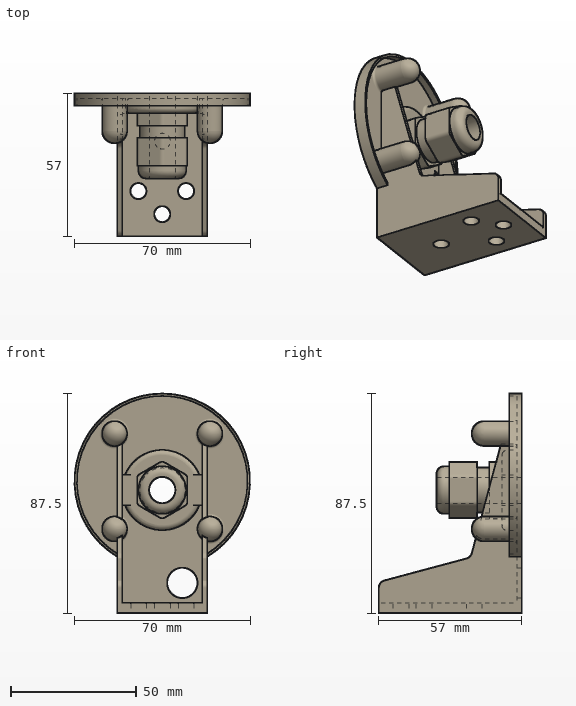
import cadquery as cq
import math


bracket_width = 36.0
bracket_depth = 57.0
base_thickness = 4.0
back_thickness = 2.0
wall_thickness = 2.0
wall_slope = math.radians(15)
wall_elbow_depth = 20.4
wall_elbow_height = 22.2
wall_elbow_radius = 3.0
wall_nose_radius = 3.0
inner_width = bracket_width - 2 * wall_thickness

flange_radius = 35.0
flange_thickness = 5.0
rim_width = 1.0
flange_center_z = 52.5

pin_offset = 19.0
pin_radius = 5.0
pin_reach = 20.0
pin_root_fillet = 1.0

gland_z = 49.0
boss_radius = 16.0
boss_front = 8.0
boss_fillet = 2.0
boss_bar_height = 12.0
hex_across_flats = 20.0
hex_half_angle = 30
hex_corner_radius = 2.0
rear_hex_front = 13.0
neck_radius = 9.0
neck_front = 17.8
front_hex_front = 28.9
cap_radius = 9.5
cap_front = 34.0
cap_fillet = 3.0
gland_bore_radius = 5.2

cable_hole_radius = 6.0
cable_hole_x = 8.0
cable_hole_z = 12.0
screw_hole_radius = 3.15
screw_pair_x = 9.5
screw_pair_depth = 39.0
screw_front_depth = 48.2
screw_rear_depth = 19.0


def front_plane(depth):
    """Plane facing -Y, lying the given depth in front of the rear face; local y is Z."""
    return cq.Workplane("XZ", origin=(0, -depth, 0))


def cylinder(x, z, radius, rear, front):
    return front_plane(rear).center(x, z).circle(radius).extrude(front - rear)


def block(width, z_low, z_high, rear, front):
    height = z_high - z_low
    return (
        front_plane(rear)
        .center(0, z_low + height / 2)
        .rect(width, height)
        .extrude(front - rear)
    )


def make_flange():
    disc = cylinder(0, flange_center_z, flange_radius, 0, flange_thickness)
    recess_radius = flange_radius - rim_width
    recess = cylinder(0, flange_center_z, recess_radius, back_thickness, flange_thickness)
    channel = block(inner_width, 0, flange_center_z, back_thickness, flange_thickness)
    return disc.cut(recess).cut(channel)


def make_side_wall(x_low):
    wall_top = flange_center_z + pin_offset
    top_depth = wall_elbow_depth - (wall_top - wall_elbow_height) * math.tan(wall_slope)
    nose_height = wall_elbow_height - (bracket_depth - wall_elbow_depth) * math.tan(wall_slope)
    wall = (
        cq.Workplane("YZ", origin=(x_low, 0, 0))
        .polyline([
            (0, 0),
            (0, wall_top),
            (-top_depth, wall_top),
            (-wall_elbow_depth, wall_elbow_height),
            (-bracket_depth, nose_height),
            (-bracket_depth, 0),
        ])
        .close()
        .extrude(wall_thickness)
    )
    x_mid = x_low + wall_thickness / 2
    elbow = cq.selectors.NearestToPointSelector((x_mid, -wall_elbow_depth, wall_elbow_height))
    nose = cq.selectors.NearestToPointSelector((x_mid, -bracket_depth, nose_height))
    return wall.edges(elbow).fillet(wall_elbow_radius).edges(nose).fillet(wall_nose_radius)


def make_bracket():
    base = block(bracket_width, 0, base_thickness, 0, bracket_depth)
    back = block(bracket_width, 0, flange_center_z, 0, back_thickness)
    left_wall = make_side_wall(-bracket_width / 2)
    right_wall = make_side_wall(inner_width / 2)
    return base.union(back).union(left_wall).union(right_wall)


def revolve_about_y(profile):
    """Full turn about the Y axis of a profile drawn on the XY plane."""
    return profile.revolve(360, (0, 0, 0), (0, 1, 0))


def make_pin(x, z):
    shoulder = pin_reach - pin_radius
    tip_mid = pin_radius * math.sqrt(0.5)
    profile = (
        cq.Workplane("XY")
        .lineTo(pin_radius, 0)
        .lineTo(pin_radius, -shoulder)
        .threePointArc((tip_mid, -shoulder - tip_mid), (0, -pin_reach))
        .close()
    )
    return revolve_about_y(profile).translate((x, 0, z))


def make_pin_root(x, z):
    """Concave fillet between a pin and the recessed face of the flange."""
    root_radius = pin_radius + pin_root_fillet
    root_front = back_thickness + pin_root_fillet
    arc_inset = pin_root_fillet * (1 - math.sqrt(0.5))
    profile = (
        cq.Workplane("XY")
        .lineTo(root_radius, 0)
        .lineTo(root_radius, -back_thickness)
        .threePointArc(
            (pin_radius + arc_inset, -back_thickness - arc_inset),
            (pin_radius, -root_front),
        )
        .lineTo(0, -root_front)
        .close()
    )
    return revolve_about_y(profile).translate((x, 0, z))


def make_lower_pin_root(x, z):
    """Root fillet of a pin split by a side wall: only the part on the wall's +X side."""
    wall_mid_x = math.copysign((bracket_width - wall_thickness) / 2, x)
    keep_size = 4 * pin_radius
    keep = cq.Workplane("XY").box(keep_size, keep_size, keep_size)
    keep = keep.translate((wall_mid_x + keep_size / 2, 0, z))
    return make_pin_root(x, z).intersect(keep)


def make_boss():
    disc = cylinder(0, gland_z, boss_radius, 0, boss_front)
    disc = disc.faces("<Y").edges().fillet(boss_fillet)
    half_bar = boss_bar_height / 2
    bar = block(inner_width, gland_z - half_bar, gland_z + half_bar, 0, boss_front)
    return disc.union(bar)


def make_hex(rear, front):
    """Hexagonal nut with rounded corners, one corner pointing up."""
    across_corners = hex_across_flats / math.cos(math.radians(hex_half_angle))
    nut = front_plane(rear).polygon(6, across_corners).extrude(front - rear)
    nut = nut.edges("|Y").fillet(hex_corner_radius)
    return nut.rotate((0, 0, 0), (0, 1, 0), hex_half_angle).translate((0, 0, gland_z))


def make_gland():
    cap = cylinder(0, gland_z, cap_radius, front_hex_front, cap_front)
    cap = cap.faces("<Y").edges().fillet(cap_fillet)
    neck = cylinder(0, gland_z, neck_radius, rear_hex_front, neck_front)
    rear_hex = make_hex(boss_front, rear_hex_front)
    front_hex = make_hex(neck_front, front_hex_front)
    return rear_hex.union(neck).union(front_hex).union(cap)


def make_screw_holes():
    return (
        cq.Workplane("XY")
        .pushPoints([
            (-screw_pair_x, -screw_pair_depth),
            (screw_pair_x, -screw_pair_depth),
            (0, -screw_front_depth),
            (0, -screw_rear_depth),
        ])
        .circle(screw_hole_radius)
        .extrude(base_thickness)
    )


result = make_flange().union(make_bracket())
upper_pin_z = flange_center_z + pin_offset
lower_pin_z = flange_center_z - pin_offset
for pin_x in (-pin_offset, pin_offset):
    result = result.union(make_pin_root(pin_x, upper_pin_z))
    result = result.union(make_lower_pin_root(pin_x, lower_pin_z))
    for pin_z in (upper_pin_z, lower_pin_z):
        result = result.union(make_pin(pin_x, pin_z))
result = result.union(make_boss()).union(make_gland())
result = result.cut(cylinder(0, gland_z, gland_bore_radius, 0, cap_front))
result = result.cut(cylinder(cable_hole_x, cable_hole_z, cable_hole_radius, 0, back_thickness))
result = result.cut(make_screw_holes())